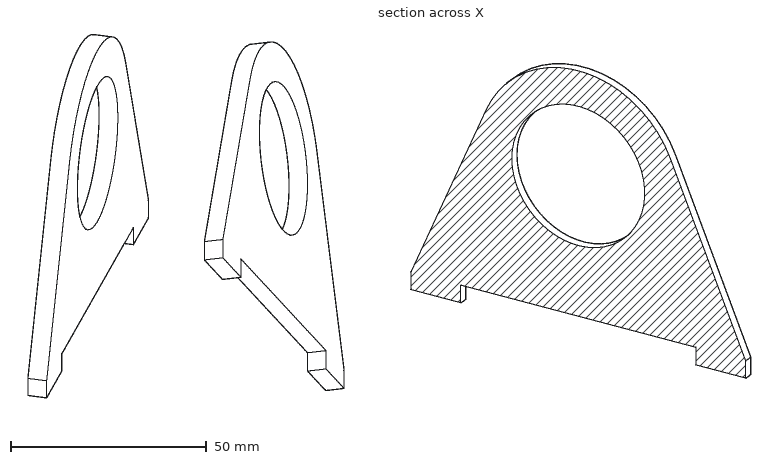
import cadquery as cq
import math

thickness = 5.0
base_width = 100.0
height = 75.0

head_radius = 30.0
bore_diameter = 39.5
head_z = height - head_radius

foot_width = 15.0
foot_height = 5.0

half_width = base_width / 2
foot_inner_y = half_width - foot_width

drop = head_z - foot_height
corner_distance = math.hypot(half_width, drop)
tangent_angle = math.acos(head_radius / corner_distance) - math.atan2(drop, half_width)
tangent_y = head_radius * math.cos(tangent_angle)
tangent_z = head_z + head_radius * math.sin(tangent_angle)


def make_plate():
    """Plate outline in the YZ plane, centred on X."""
    return (
        cq.Workplane("YZ", origin=(-thickness / 2, 0, 0))
        .moveTo(-half_width, 0)
        .lineTo(-foot_inner_y, 0)
        .lineTo(-foot_inner_y, foot_height)
        .lineTo(foot_inner_y, foot_height)
        .lineTo(foot_inner_y, 0)
        .lineTo(half_width, 0)
        .lineTo(half_width, foot_height)
        .lineTo(tangent_y, tangent_z)
        .threePointArc((0, height), (-tangent_y, tangent_z))
        .lineTo(-half_width, foot_height)
        .close()
        .extrude(thickness)
    )


def make_bore():
    """Cylinder through the plate, concentric with the head."""
    return (
        cq.Workplane("YZ", origin=(-thickness / 2, 0, 0))
        .center(0, head_z)
        .circle(bore_diameter / 2)
        .extrude(thickness)
    )


result = make_plate().cut(make_bore())